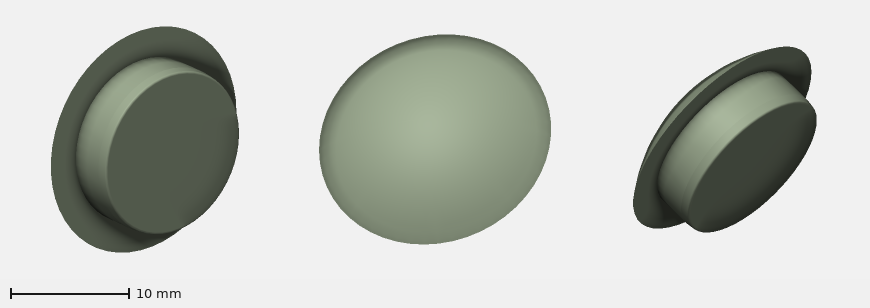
import cadquery as cq

CAP_DIAMETER = 20.0
CAP_HEIGHT = 3.82
PLUG_DIAMETER = 14.6
PLUG_LENGTH = 4.0
TAPER_LENGTH = 0.92
TAPER_DEPTH = 0.1
EDGE_RADIUS = 0.2

cap_radius = CAP_DIAMETER / 2
plug_radius = PLUG_DIAMETER / 2
taper_start = PLUG_LENGTH - TAPER_LENGTH
end_radius = plug_radius - TAPER_DEPTH

sphere_radius = (cap_radius**2 + CAP_HEIGHT**2) / (2 * CAP_HEIGHT)
sphere_center_x = sphere_radius - CAP_HEIGHT
arc_mid_radius = cap_radius / 2
arc_mid_x = sphere_center_x - (sphere_radius**2 - arc_mid_radius**2) ** 0.5

profile = (
    cq.Workplane("XY")
    .moveTo(-CAP_HEIGHT, 0)
    .threePointArc((arc_mid_x, arc_mid_radius), (0, cap_radius))
    .lineTo(0, plug_radius)
    .lineTo(taper_start, plug_radius)
    .lineTo(PLUG_LENGTH, end_radius)
    .lineTo(PLUG_LENGTH, 0)
    .close()
)
body = profile.revolve(360, (0, 0, 0), (1, 0, 0))

result = body.faces(">X").edges().fillet(EDGE_RADIUS)